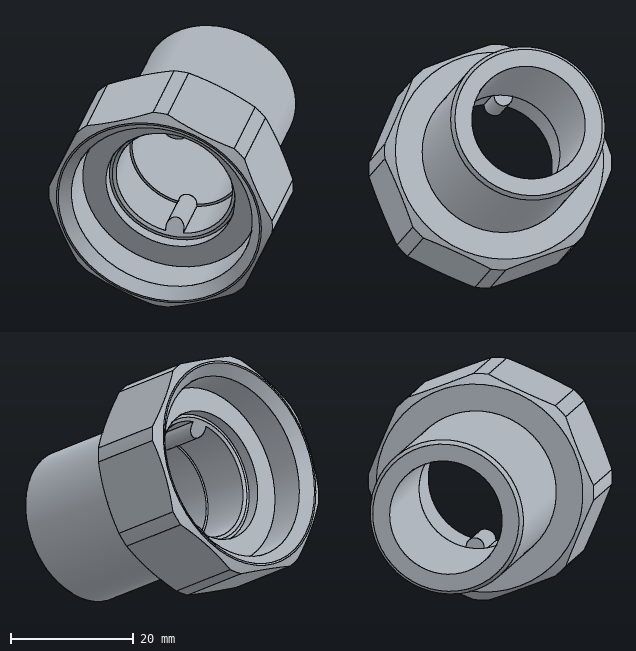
import cadquery as cq
import math

TOTAL_LENGTH = 37.5

NUT_LENGTH = 14.5
NUT_CORNER_RADIUS = 19.0
NUT_ACROSS_FLATS = 36.0
NUT_FACE_RADIUS = 17.4
NUT_CHAMFER_LENGTH = (NUT_CORNER_RADIUS - NUT_FACE_RADIUS) * math.tan(math.radians(30))
NUT_BORE_RADIUS = 15.35
NUT_MOUTH_RADIUS = 17.1
NUT_MOUTH_DEPTH = NUT_MOUTH_RADIUS - NUT_BORE_RADIUS

GASKET_FRONT = 7.0
GASKET_THICKNESS = 2.0
GASKET_INNER_RADIUS = 10.95
GASKET_OUTER_RADIUS = 14.9

FLANGE_FRONT = GASKET_FRONT + GASKET_THICKNESS
FLANGE_THICKNESS = 2.0
FLANGE_BACK = FLANGE_FRONT + FLANGE_THICKNESS
TUBE_RADIUS = 12.92
TUBE_END_CHAMFER = 0.6
BORE_RADIUS = 9.88
BORE_MOUTH_RADIUS = 10.45
BORE_MOUTH_SLOPE = math.tan(math.radians(30))
REAR_BORE_RADIUS = 9.45
BORE_STEP = 17.5

RIB_WIDTH = 3.05
RIB_TOP_RADIUS = 7.68
RIB_ROOT_RADIUS = (BORE_RADIUS + TUBE_RADIUS) / 2
RIB_ANGLES = (0, 180)


def ring_body(profile):
    """Revolve a closed (radius, y) profile about the Y axis."""
    return cq.Workplane("XY").polyline(profile).close().revolve(360, (0, 0, 0), (0, 1, 0))


def make_nut():
    corner_diameter = NUT_ACROSS_FLATS / math.cos(math.pi / 8)
    octagon = cq.Workplane("XZ").polygon(8, corner_diameter).extrude(-NUT_LENGTH)
    envelope = ring_body([
        (0, 0),
        (NUT_FACE_RADIUS, 0),
        (NUT_CORNER_RADIUS, NUT_CHAMFER_LENGTH),
        (NUT_CORNER_RADIUS, NUT_LENGTH - NUT_CHAMFER_LENGTH),
        (NUT_FACE_RADIUS, NUT_LENGTH),
        (0, NUT_LENGTH),
    ])
    cavity = ring_body([
        (0, 0),
        (NUT_MOUTH_RADIUS, 0),
        (NUT_BORE_RADIUS, NUT_MOUTH_DEPTH),
        (NUT_BORE_RADIUS, FLANGE_BACK),
        (TUBE_RADIUS, FLANGE_BACK),
        (TUBE_RADIUS, NUT_LENGTH),
        (0, NUT_LENGTH),
    ])
    return octagon.intersect(envelope).cut(cavity)


def make_gasket():
    return ring_body([
        (GASKET_INNER_RADIUS, GASKET_FRONT),
        (GASKET_OUTER_RADIUS, GASKET_FRONT),
        (GASKET_OUTER_RADIUS, FLANGE_FRONT),
        (GASKET_INNER_RADIUS, FLANGE_FRONT),
    ])


def make_rib(angle):
    """Straight round-topped bar along the bore, before its front end is sloped."""
    half_width = RIB_WIDTH / 2
    round_center = RIB_TOP_RADIUS + half_width
    return (
        cq.Workplane("XZ", origin=(0, FLANGE_FRONT, 0))
        .moveTo(-half_width, RIB_ROOT_RADIUS)
        .lineTo(-half_width, round_center)
        .threePointArc((0, RIB_TOP_RADIUS), (half_width, round_center))
        .lineTo(half_width, RIB_ROOT_RADIUS)
        .close()
        .extrude(FLANGE_FRONT - BORE_STEP)
        .rotate((0, 0, 0), (0, 1, 0), angle)
    )


def make_tailpiece():
    blank = ring_body([
        (0, FLANGE_FRONT),
        (GASKET_OUTER_RADIUS, FLANGE_FRONT),
        (GASKET_OUTER_RADIUS, FLANGE_BACK),
        (TUBE_RADIUS, FLANGE_BACK),
        (TUBE_RADIUS, TOTAL_LENGTH - TUBE_END_CHAMFER),
        (TUBE_RADIUS - TUBE_END_CHAMFER, TOTAL_LENGTH),
        (0, TOTAL_LENGTH),
    ])
    front_bore = ring_body([
        (0, FLANGE_FRONT),
        (BORE_RADIUS, FLANGE_FRONT),
        (BORE_RADIUS, BORE_STEP),
        (0, BORE_STEP),
    ])
    for angle in RIB_ANGLES:
        front_bore = front_bore.cut(make_rib(angle))
    rear_bore = ring_body([
        (0, BORE_STEP),
        (REAR_BORE_RADIUS, BORE_STEP),
        (REAR_BORE_RADIUS, TOTAL_LENGTH),
        (0, TOTAL_LENGTH),
    ])
    mouth_cone = ring_body([
        (0, FLANGE_FRONT),
        (BORE_MOUTH_RADIUS, FLANGE_FRONT),
        (0, FLANGE_FRONT + BORE_MOUTH_RADIUS * BORE_MOUTH_SLOPE),
    ])
    return blank.cut(front_bore).cut(rear_bore).cut(mouth_cone)


nut = make_nut()
gasket = make_gasket()
tailpiece = make_tailpiece()

result = cq.Compound.makeCompound([nut.val(), gasket.val(), tailpiece.val()])